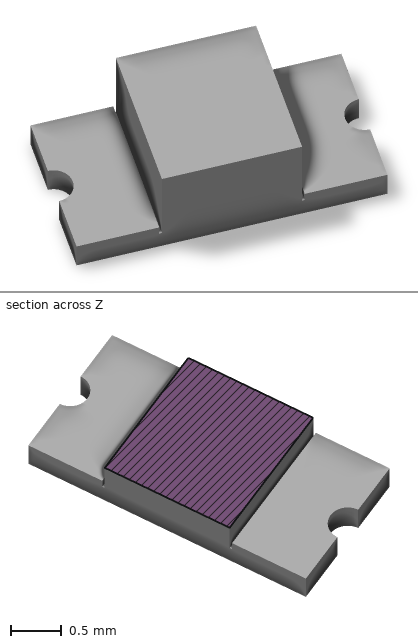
import cadquery as cq

width = 1.6
length = 3.2
height = 1.05

board_thickness = 0.2
terminal_height = 0.298
terminal_length = 0.85
notch_radius = 0.2

body_length = 1.443


def block(size_y, bottom, top, center_y=0):
    """Full-width block between two heights."""
    return (
        cq.Workplane("XY", origin=(0, center_y, bottom))
        .rect(width, size_y)
        .extrude(top - bottom)
    )


board = block(length, 0, board_thickness)
body = block(body_length, board_thickness, height)
result = board.union(body)

for end in (-1, 1):
    terminal_y = end * (length - terminal_length) / 2
    result = result.union(block(terminal_length, 0, terminal_height, terminal_y))

end_points = [(0, -length / 2), (0, length / 2)]
notches = cq.Workplane("XY").pushPoints(end_points).circle(notch_radius).extrude(terminal_height)
result = result.cut(notches)